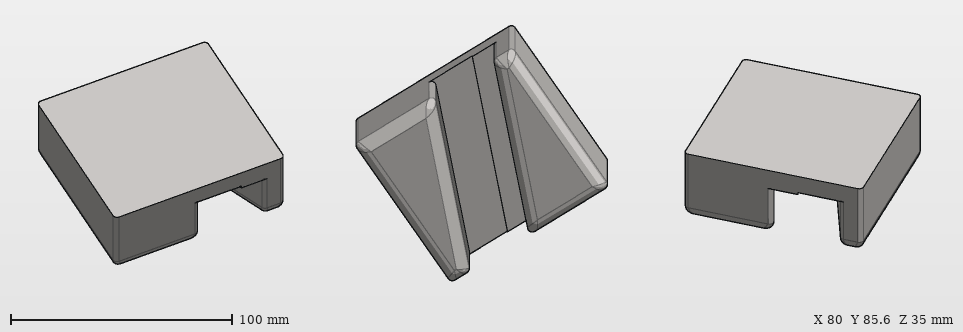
import cadquery as cq
import math

width = 80.0
length = 85.6
height = 35.0

plate_thickness = 10.0
recess_depth = 1.0
recess_edge_y = -12.15

channel_angle = 22.5
leg_wide_end = 43.5
corner_radius = 2.05
bottom_radius = 5.6

leg_height = height - plate_thickness
leg_taper = width * math.tan(math.radians(channel_angle))
leg_narrow_end = leg_wide_end - leg_taper
half_width = width / 2
half_length = length / 2


def make_plate():
    """Flat top plate with rounded vertical corners."""
    return (
        cq.Workplane("XY")
        .workplane(offset=leg_height)
        .rect(width, length)
        .extrude(plate_thickness)
        .edges("|Z")
        .fillet(corner_radius)
    )


def make_front_leg():
    """Tapered full-height leg on the -Y side with a rounded underside and rounded corners."""
    return (
        cq.Workplane("XY")
        .moveTo(-half_width, -half_length)
        .lineTo(half_width, -half_length)
        .lineTo(half_width, leg_wide_end - half_length)
        .lineTo(-half_width, leg_narrow_end - half_length)
        .close()
        .extrude(height)
        .edges("|Z")
        .fillet(corner_radius)
        .faces("<Z")
        .edges()
        .fillet(bottom_radius)
    )


def make_recess():
    """Recess with an edge parallel to the channel; the front leg fills the part it overlaps."""
    return (
        cq.Workplane("XY")
        .workplane(offset=leg_height)
        .moveTo(-half_width, leg_narrow_end - corner_radius - half_length)
        .lineTo(half_width, leg_narrow_end - corner_radius - half_length)
        .lineTo(half_width, recess_edge_y + leg_taper)
        .lineTo(-half_width, recess_edge_y)
        .close()
        .extrude(recess_depth)
    )


front_leg = make_front_leg()
back_leg = front_leg.rotate((0, 0, 0), (0, 0, 1), 180)
result = make_plate().cut(make_recess()).union(front_leg).union(back_leg)